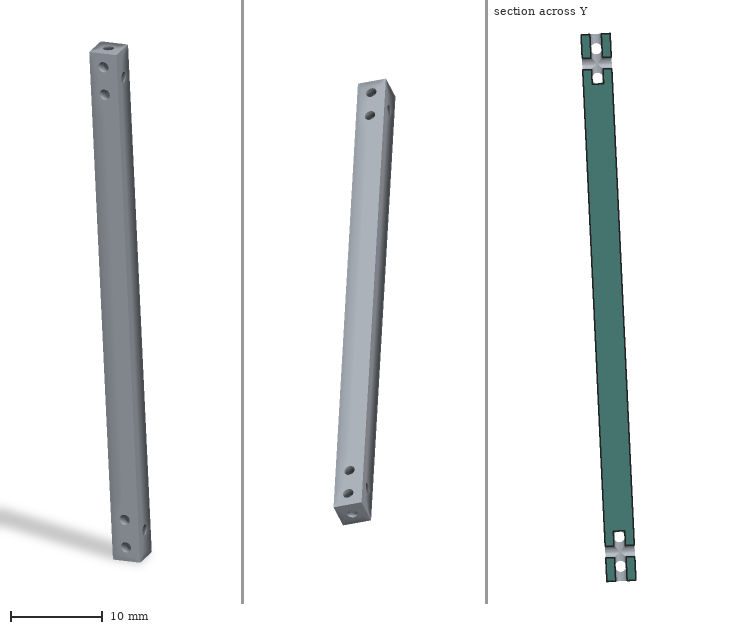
import cadquery as cq
import math

overall_height = 59.65
bar_width = 3.2
lean_angle = 2.7
lean = math.radians(lean_angle)
bar_length = (overall_height - bar_width * math.sin(lean)) / math.cos(lean)

hole_diameter = 1.2
front_hole_distances = (bar_width / 2, 1.5 * bar_width)
side_hole_distance = bar_width
end_hole_depth = front_hole_distances[-1] + hole_diameter / 2


def both_ends(distance):
    """Positions along the bar at the same distance from either end."""
    offset = bar_length / 2 - distance
    return (-offset, offset)


def through_holes(plane, distance):
    """Pair of cross holes, one near each end, through the full bar width."""
    points = [(0, position) for position in both_ends(distance)]
    sketch = cq.Workplane(plane).pushPoints(points).circle(hole_diameter / 2)
    return sketch.extrude(bar_width, both=True)


bar = cq.Workplane("XY").box(bar_width, bar_width, bar_length)

for end_face in (">Z", "<Z"):
    bar = bar.faces(end_face).workplane(centerOption="CenterOfBoundBox")
    bar = bar.circle(hole_diameter / 2).cutBlind(-end_hole_depth)

for distance in front_hole_distances:
    bar = bar.cut(through_holes("XZ", distance))
bar = bar.cut(through_holes("YZ", side_hole_distance))

result = bar.rotate((0, 0, 0), (0, 1, 0), -lean_angle)